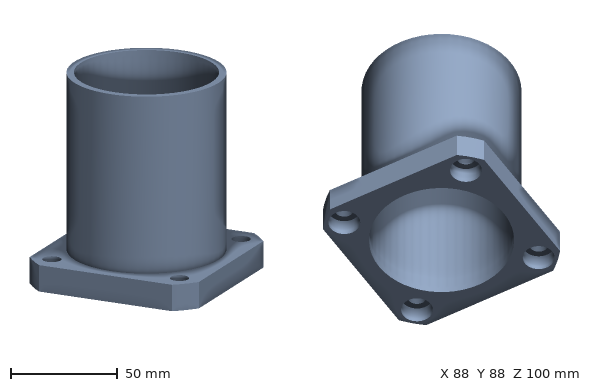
import cadquery as cq

flange_side = 88.0
flange_thickness = 13.0
flange_corner_diameter = 112.0

total_height = 100.0
tube_diameter = 75.0
bore_diameter = 68.0

hole_diameter = 9.0
hole_spacing = 66.4
counterbore_diameter = 15.0
counterbore_depth = 8.6


def make_flange():
    plate = cq.Workplane("XY").rect(flange_side, flange_side).extrude(flange_thickness)
    corner_limit = cq.Workplane("XY").circle(flange_corner_diameter / 2).extrude(flange_thickness)
    return plate.intersect(corner_limit)


def make_cylinder(diameter, height):
    return cq.Workplane("XY").circle(diameter / 2).extrude(height)


def make_hole_pattern(diameter, depth):
    """Four cylinders on the mounting hole square, rising from the underside."""
    return (
        cq.Workplane("XY")
        .rect(hole_spacing, hole_spacing, forConstruction=True)
        .vertices()
        .circle(diameter / 2)
        .extrude(depth)
    )


tube = make_cylinder(tube_diameter, total_height)
bore = make_cylinder(bore_diameter, total_height)
through_holes = make_hole_pattern(hole_diameter, flange_thickness)
counterbores = make_hole_pattern(counterbore_diameter, counterbore_depth)

result = make_flange().union(tube).cut(bore).cut(through_holes).cut(counterbores)